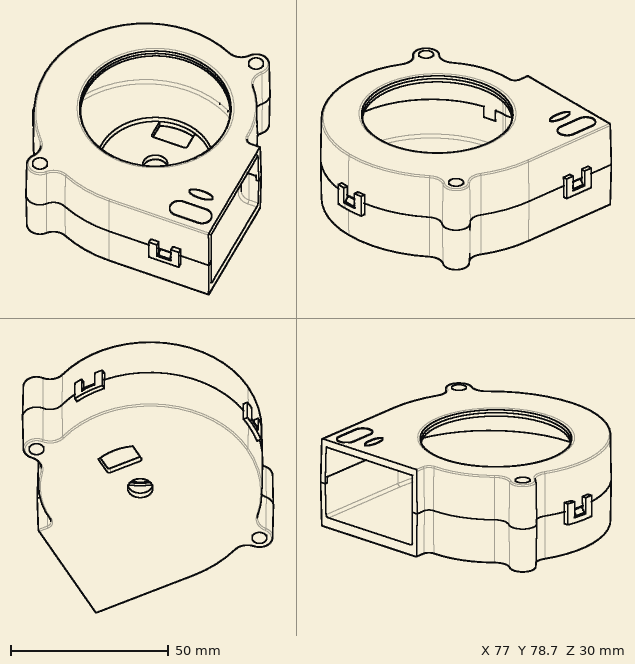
import cadquery as cq
import math

HEIGHT = 30.0
HALF_HEIGHT = HEIGHT / 2
DRAFT = 1.0
EDGE_ROUND = 0.5

SPIRAL_Y = -0.7
SPIRAL_LEFT = -38.3
UPPER_RADIUS = 35.2
LOWER_RADIUS = 40.7
RIGHT_RADIUS = 29.35
RIGHT_CENTRE = (2.5, 2.05)
OUTLET_X = 37.3
OUTLET_TOP_Y = -0.8
TONGUE_ROUND = 2.0

WALL = 2.0
LID_THICKNESS = 2.4
FLOOR_THICKNESS = 3.55
FLOOR_ROUND = 0.95

LUG_CENTRES = [(21.55, 30.0), (-23.8, -36.3)]
LUG_RADIUS = 4.5
LUG_HOLE_RADIUS = 2.35
LUG_BLEND = 4.7

INLET_RADIUS = 23.75
INLET_NECK_DEPTH = 1.25
INLET_FLARE_RADIUS = 24.1
INLET_FLARE_DEPTH = 0.4
INLET_RIM_RADIUS = 24.9

MARK_DEPTH = 0.2
MARK_X = 28.1
OVAL_Y = -27.0
OVAL_HALF_LENGTH = 4.1
OVAL_HALF_WIDTH = 1.5
SLOT_Y = -35.0
SLOT_LENGTH = 14.1
SLOT_WIDTH = 6.1

SEAT_RADIUS = 18.6
SEAT_BOTTOM_RADIUS = 18.1
SEAT_DEPTH = 1.4
SHAFT_HOLE_RADIUS = 4.0
WINDOW_WIDTH = 12.3
WINDOW_START_Y = 10.3
WINDOW_ROUND = 0.8

LIP_THICKNESS = WALL / 2
LIP_HEIGHT = 2.05
KEY_ANGLE = 15.0
KEY_WIDTH = 4.5
KEY_BOTTOM = -1.9

LOOP_THICKNESS = 1.4
LOOP_WIDTH = 10.4
LOOP_TOP = 3.15
LOOP_BOTTOM = -4.1
LOOP_WINDOW_WIDTH = 4.9
LOOP_WINDOW_BOTTOM = -2.3
WEDGE_WIDTH = 3.9
WEDGE_TOP = -0.15
WEDGE_BOTTOM = -1.7
WEDGE_REACH = 1.25
LOOP_TOOL_DEPTH = 4 * LOOP_THICKNESS
LOOP_ROOT_DEPTH = 0.5
TOP_LOOP_X = 0.15
LEFT_LOOP_Y = -2.75
BOTTOM_LOOP_X = 22.3
LOOP_PLACES = [
    ((TOP_LOOP_X, SPIRAL_Y + UPPER_RADIUS), 90),
    ((SPIRAL_LEFT, LEFT_LOOP_Y), 180),
    ((BOTTOM_LOOP_X, SPIRAL_Y - LOWER_RADIUS), 270),
]

MARGIN = 3.9

UPPER_CENTRE = (SPIRAL_LEFT + UPPER_RADIUS, SPIRAL_Y)
LOWER_CENTRE = (SPIRAL_LEFT + LOWER_RADIUS, SPIRAL_Y)


def toward(centre, target, radius):
    """Point at a distance from a centre, in the direction of a target."""
    scale = radius / math.dist(centre, target)
    return (
        centre[0] + scale * (target[0] - centre[0]),
        centre[1] + scale * (target[1] - centre[1]),
    )


def meeting_points(centre_a, radius_a, centre_b, radius_b):
    """Both intersections of two circles: left, then right of the line from A to B."""
    dx = centre_b[0] - centre_a[0]
    dy = centre_b[1] - centre_a[1]
    distance = math.hypot(dx, dy)
    along = (distance ** 2 + radius_a ** 2 - radius_b ** 2) / (2 * distance)
    across = math.sqrt(radius_a ** 2 - along ** 2)
    return [
        (
            centre_a[0] + (along * dx - side * across * dy) / distance,
            centre_a[1] + (along * dy + side * across * dx) / distance,
        )
        for side in (1, -1)
    ]


def add_arc(path, centre, start, end, turn):
    """Arc about a centre; `turn` is 1 for counterclockwise and -1 for clockwise."""
    start_angle = math.atan2(start[1] - centre[1], start[0] - centre[0])
    end_angle = math.atan2(end[1] - centre[1], end[0] - centre[0])
    sweep = turn * ((turn * (end_angle - start_angle)) % (2 * math.pi))
    radius = math.dist(centre, start)
    middle_angle = start_angle + sweep / 2
    middle = (
        centre[0] + radius * math.cos(middle_angle),
        centre[1] + radius * math.sin(middle_angle),
    )
    return path.threePointArc(middle, end)


def lug_contour(lug, before, after):
    """Start and end of a lug on the volute wall, and a function that draws the lug.

    `before` and `after` are the (centre, radius) of the wall arcs on each side of the lug.
    """
    reach = LUG_RADIUS + LUG_BLEND
    first = meeting_points(before[0], before[1] + LUG_BLEND, lug, reach)[1]
    last = meeting_points(after[0], after[1] + LUG_BLEND, lug, reach)[0]
    start = toward(first, before[0], LUG_BLEND)
    end = toward(last, after[0], LUG_BLEND)
    lug_start = toward(lug, first, LUG_RADIUS)
    lug_end = toward(lug, last, LUG_RADIUS)

    def draw(path):
        path = add_arc(path, first, start, lug_start, -1)
        path = add_arc(path, lug, lug_start, lug_end, 1)
        return add_arc(path, last, lug_end, end, -1)

    return start, end, draw


def volute(inset, outlet_x, height, with_lugs=False):
    """Straight prism of the volute and its outlet, all walls moved inward by `inset`."""
    upper = UPPER_RADIUS - inset
    lower = LOWER_RADIUS - inset
    right = RIGHT_RADIUS - inset
    top_y = OUTLET_TOP_Y - inset
    tongue_x = RIGHT_CENTRE[0] + math.sqrt(right ** 2 - (top_y - RIGHT_CENTRE[1]) ** 2)
    tongue = (tongue_x, top_y)
    left = (SPIRAL_LEFT + inset, SPIRAL_Y)
    bottom = (LOWER_CENTRE[0], SPIRAL_Y - lower)
    path = cq.Workplane("XY").moveTo(outlet_x, top_y).lineTo(*tongue)
    if with_lugs:
        upper_wall = (UPPER_CENTRE, upper)
        lower_wall = (LOWER_CENTRE, lower)
        start, end, draw_lug = lug_contour(LUG_CENTRES[0], (RIGHT_CENTRE, right), upper_wall)
        path = draw_lug(add_arc(path, RIGHT_CENTRE, tongue, start, 1))
        path = add_arc(path, UPPER_CENTRE, end, left, 1)
        start, end, draw_lug = lug_contour(LUG_CENTRES[1], lower_wall, lower_wall)
        path = draw_lug(add_arc(path, LOWER_CENTRE, left, start, 1))
        path = add_arc(path, LOWER_CENTRE, end, bottom, 1)
    else:
        crossings = meeting_points(RIGHT_CENTRE, right, UPPER_CENTRE, upper)
        shoulder = max(crossings, key=lambda point: point[0])
        path = add_arc(path, RIGHT_CENTRE, tongue, shoulder, 1)
        path = add_arc(path, UPPER_CENTRE, shoulder, left, 1)
        path = add_arc(path, LOWER_CENTRE, left, bottom, 1)
    return (
        path.lineTo(outlet_x, bottom[1])
        .close()
        .extrude(height)
        .edges(cq.selectors.NearestToPointSelector((*tongue, height / 2)))
        .fillet(TONGUE_ROUND + inset)
    )


def drafted(prism, height):
    """Extrude the foot of a straight prism upward with mould draft."""
    foot = prism.faces("<Z").wires().val()
    return cq.Workplane("XY").add(foot).toPending().extrude(height, taper=DRAFT)


def outer_half():
    """Solid upper half with lugs, draft, rounded rim and lug holes."""
    half = drafted(volute(0, OUTLET_X, HALF_HEIGHT, with_lugs=True), HALF_HEIGHT)
    half = half.faces(">Z").edges("not |Y").fillet(EDGE_ROUND)
    holes = cq.Workplane("XY").pushPoints(LUG_CENTRES).circle(LUG_HOLE_RADIUS).extrude(HALF_HEIGHT)
    return half.cut(holes)


def cavity(depth, overrun=0.0):
    """Air space of an upper half, open through the outlet.

    Its drafted walls start at the parting plane, or run on below it by `overrun`.
    """
    foot_inset = WALL - overrun * math.tan(math.radians(DRAFT))
    height = depth + overrun
    space = drafted(volute(foot_inset, OUTLET_X + MARGIN, height), height)
    return space.translate((0, 0, -overrun))


def mirrored(half):
    return half.mirror("XY")


def base_air_space():
    """Air space of the base, which runs on upward inside the lip, with a rounded floor corner."""
    space = cavity(HALF_HEIGHT - FLOOR_THICKNESS, LIP_HEIGHT)
    return mirrored(space.faces(">Z").edges().fillet(FLOOR_ROUND))


def lip_band(bottom, top):
    """Band that holds the inner part of the volute wall between two heights."""
    height = top - bottom
    band = volute(WALL - LIP_THICKNESS, OUTLET_X - LIP_THICKNESS, height)
    band = band.cut(volute(WALL + LIP_THICKNESS, OUTLET_X + MARGIN, height))
    return band.translate((0, 0, bottom))


def key_block():
    """Block of the cover that fills a gap in the lip of the base, before the air space is cut."""
    height = LIP_HEIGHT - KEY_BOTTOM
    block = (
        cq.Workplane("XY")
        .box(2 * UPPER_RADIUS, KEY_WIDTH, height, centered=(False, True, False))
        .rotate((0, 0, 0), (0, 0, 1), KEY_ANGLE)
        .translate((0, 0, KEY_BOTTOM))
    )
    return lip_band(KEY_BOTTOM, LIP_HEIGHT).intersect(block)


def facing(shape, place):
    """Turn a shape that faces +X at the origin to a place on the wall."""
    (x, y), direction = place
    return shape.rotate((0, 0, 0), (0, 0, 1), direction).translate((x, y, 0))


def snap_loops():
    """U-shaped loops that follow the wall; their arms carry the crossbar below the parting plane."""
    height = LOOP_TOP - LOOP_BOTTOM
    shell = volute(-LOOP_THICKNESS, OUTLET_X, height).cut(volute(0, OUTLET_X + MARGIN, height))
    shell = shell.translate((0, 0, LOOP_BOTTOM))
    block = cq.Workplane("XY", origin=(0, 0, LOOP_BOTTOM))
    block = block.rect(LOOP_TOOL_DEPTH, LOOP_WIDTH).extrude(height)
    window = cq.Workplane("XY", origin=(0, 0, LOOP_WINDOW_BOTTOM))
    window = window.rect(LOOP_TOOL_DEPTH, LOOP_WINDOW_WIDTH).extrude(height)
    loop = block.cut(window)
    return [shell.intersect(facing(loop, place)) for place in LOOP_PLACES]


def loop_roots():
    """Fill the draft gap behind the arms of the loops, above the parting plane."""
    skin = volute(0, OUTLET_X, LOOP_TOP).cut(volute(LOOP_ROOT_DEPTH, OUTLET_X + MARGIN, LOOP_TOP))
    arm_width = (LOOP_WIDTH - LOOP_WINDOW_WIDTH) / 2
    arm_offset = (LOOP_WIDTH - arm_width) / 2
    arms = (
        cq.Workplane("XY")
        .pushPoints([(0, -arm_offset), (0, arm_offset)])
        .rect(LOOP_TOOL_DEPTH, arm_width)
        .extrude(LOOP_TOP)
    )
    return [skin.intersect(facing(arms, place)) for place in LOOP_PLACES]


def catch_wedges():
    """Ramps that widen downward and hold the crossbars of the loops."""
    root = -WALL / 2
    ramp = (
        cq.Workplane("XZ")
        .polyline([(root, WEDGE_TOP), (0, WEDGE_TOP), (WEDGE_REACH, WEDGE_BOTTOM), (root, WEDGE_BOTTOM)])
        .close()
        .extrude(WEDGE_WIDTH / 2, both=True)
    )
    return [facing(ramp, place) for place in LOOP_PLACES]


def inlet():
    """Round opening whose mouth flares in a short cone and a rounded rim."""
    rim_width = INLET_RIM_RADIUS - INLET_FLARE_RADIUS
    rim_round = (rim_width ** 2 + INLET_FLARE_DEPTH ** 2) / (2 * INLET_FLARE_DEPTH)
    return (
        cq.Workplane("XZ")
        .moveTo(0, HALF_HEIGHT - LID_THICKNESS)
        .lineTo(INLET_RADIUS, HALF_HEIGHT - LID_THICKNESS)
        .lineTo(INLET_RADIUS, HALF_HEIGHT - INLET_NECK_DEPTH)
        .lineTo(INLET_FLARE_RADIUS, HALF_HEIGHT - INLET_FLARE_DEPTH)
        .radiusArc((INLET_RIM_RADIUS, HALF_HEIGHT), rim_round)
        .lineTo(0, HALF_HEIGHT)
        .close()
        .revolve(360, (0, 0, 0), (0, 1, 0))
    )


def cover_marks():
    plane = cq.Workplane("XY", origin=(MARK_X, 0, HALF_HEIGHT - MARK_DEPTH))
    oval = plane.center(0, OVAL_Y).ellipse(OVAL_HALF_LENGTH, OVAL_HALF_WIDTH).extrude(MARK_DEPTH)
    slot = plane.center(0, SLOT_Y).slot2D(SLOT_LENGTH, SLOT_WIDTH).extrude(MARK_DEPTH)
    return oval.union(slot)


def build_cover():
    cover = outer_half().cut(lip_band(0, LIP_HEIGHT)).union(key_block())
    cover = cover.cut(cavity(HALF_HEIGHT - LID_THICKNESS, -KEY_BOTTOM))
    cover = cover.cut(inlet()).cut(cover_marks())
    for part in loop_roots() + snap_loops():
        cover = cover.union(part)
    return cover


def motor_seat():
    floor_z = FLOOR_THICKNESS - HALF_HEIGHT
    bottom_z = floor_z - SEAT_DEPTH
    profile = [(0, bottom_z), (SEAT_BOTTOM_RADIUS, bottom_z), (SEAT_RADIUS, floor_z), (0, floor_z)]
    return cq.Workplane("XZ").polyline(profile).close().revolve(360, (0, 0, 0), (0, 1, 0))


def floor_openings():
    """Shaft hole, and a cable window bounded by the edge of the motor seat."""
    plane = cq.Workplane("XY", origin=(0, 0, -HALF_HEIGHT))
    shaft_hole = plane.circle(SHAFT_HOLE_RADIUS).extrude(FLOOR_THICKNESS)
    window = (
        plane.center(0, WINDOW_START_Y + SEAT_RADIUS / 2)
        .rect(WINDOW_WIDTH, SEAT_RADIUS)
        .extrude(FLOOR_THICKNESS)
        .edges("|Z")
        .fillet(WINDOW_ROUND)
        .intersect(plane.circle(SEAT_BOTTOM_RADIUS).extrude(FLOOR_THICKNESS))
    )
    return shaft_hole.union(window)


def build_base():
    base = mirrored(outer_half()).union(lip_band(0, LIP_HEIGHT))
    base = base.cut(base_air_space()).cut(key_block())
    base = base.cut(motor_seat()).cut(floor_openings())
    for wedge in catch_wedges():
        base = base.union(wedge)
    return base


cover = build_cover()
base = build_base()

result = cq.Compound.makeCompound([*cover.solids().vals(), *base.solids().vals()])